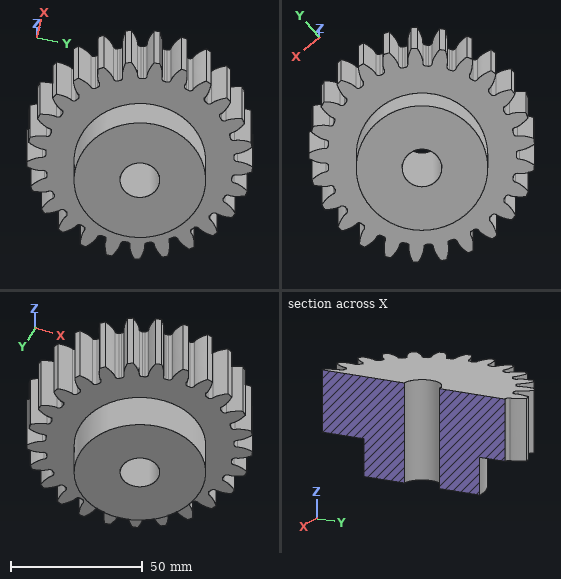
import cadquery as cq
import math

overall_width = 85.9
teeth = 25
pressure_angle = math.radians(20.0)
addendum_factor = 1.0
dedendum_factor = 1.25
face_width = 25.0
hub_length = 15.0
hub_diameter = 50.0
bore_diameter = 15.0
root_fillet = 1.3
flank_points = 9


def involute(angle):
    """Involute function of a pressure angle."""
    return math.tan(angle) - angle


tooth_pitch_angle = 2 * math.pi / teeth
half_angle_at_pitch = tooth_pitch_angle / 4
half_angle_at_base = half_angle_at_pitch + involute(pressure_angle)
tip_ratio = 1 + 2 * addendum_factor / teeth
tip_pressure_angle = math.acos(math.cos(pressure_angle) / tip_ratio)
half_angle_at_tip = half_angle_at_base - involute(tip_pressure_angle)

first_tooth_angle = -math.pi / 2
widest_corner_angle = tooth_pitch_angle / 4 - half_angle_at_tip
tip_radius = overall_width / 2 / math.cos(widest_corner_angle)
pitch_radius = tip_radius / tip_ratio
module = 2 * pitch_radius / teeth
base_radius = pitch_radius * math.cos(pressure_angle)
root_radius = pitch_radius - dedendum_factor * module

fillet_centre_radius = root_radius + root_fillet
fillet_offset_angle = math.asin(root_fillet / fillet_centre_radius)
fillet_top_radius = math.sqrt(fillet_centre_radius**2 - root_fillet**2)


def polar(radius, angle):
    """X and Y of a point given by radius and angle."""
    return (radius * math.cos(angle), radius * math.sin(angle))


def flank(centre_angle, side):
    """Involute from base circle to tip; side is -1 or +1 about the tooth centre line."""
    points = []
    for i in range(flank_points):
        roll = math.tan(tip_pressure_angle) * i / (flank_points - 1)
        local_angle = math.atan(roll)
        half_angle = half_angle_at_base - involute(local_angle)
        points.append(polar(base_radius / math.cos(local_angle), centre_angle + side * half_angle))
    return points


def fillet_arc(centre_angle, side):
    """Start on the root circle, middle and end on the radial line of a root fillet."""
    line_angle = centre_angle + side * half_angle_at_base
    fillet_angle = line_angle + side * fillet_offset_angle
    centre = polar(fillet_centre_radius, fillet_angle)
    start = polar(root_radius, fillet_angle)
    end = polar(fillet_top_radius, line_angle)
    toward = (start[0] + end[0] - 2 * centre[0], start[1] + end[1] - 2 * centre[1])
    scale = root_fillet / math.hypot(*toward)
    middle = (centre[0] + scale * toward[0], centre[1] + scale * toward[1])
    return start, middle, end


def gear_outline():
    """Closed outline of all teeth, counterclockwise from the gap before the first tooth."""
    outline = cq.Workplane("XY").moveTo(*fillet_arc(first_tooth_angle, -1)[0])
    for i in range(teeth):
        centre_angle = first_tooth_angle + i * tooth_pitch_angle
        next_angle = centre_angle + tooth_pitch_angle
        _, rise_middle, rise_end = fillet_arc(centre_angle, -1)
        fall_end, fall_middle, fall_start = fillet_arc(centre_angle, 1)
        rising = flank(centre_angle, -1)
        falling = flank(centre_angle, 1)[::-1]
        gap_middle = polar(root_radius, centre_angle + tooth_pitch_angle / 2)
        next_start = fillet_arc(next_angle, -1)[0]
        outline = (
            outline.threePointArc(rise_middle, rise_end)
            .spline(rising, includeCurrent=True)
            .threePointArc(polar(tip_radius, centre_angle), falling[0])
            .spline(falling[1:] + [fall_start], includeCurrent=True)
            .threePointArc(fall_middle, fall_end)
            .threePointArc(gap_middle, next_start)
        )
    return outline.close()


toothed_wheel = gear_outline().extrude(face_width)
hub = cq.Workplane("XY").circle(hub_diameter / 2).extrude(-hub_length)
bore_length = face_width + hub_length
bore = cq.Workplane("XY", origin=(0, 0, -hub_length)).circle(bore_diameter / 2).extrude(bore_length)
result = toothed_wheel.union(hub).cut(bore)